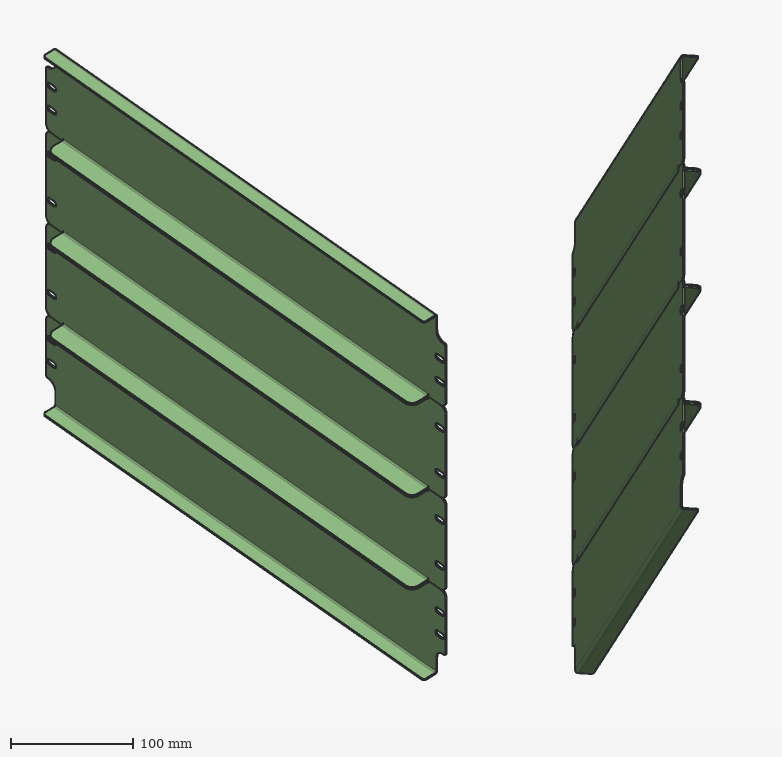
import cadquery as cq


panel_length = 476.5
sheet_thickness = 1.5
inner_bend_radius = 1.5
outer_bend_radius = inner_bend_radius + sheet_thickness

stack_height = 390.0
panel_pitch = 100.0
outer_panel_height = stack_height / 2 - panel_pitch

joint_flange_length = 435.5
joint_flange_depth = 20.0
joint_flange_corner_radius = 7.5

edge_flange_length = 454.5
edge_flange_depth = 15.2
edge_flange_corner_radius = 3.0

joint_corner_radius = 6.0
notch_height = 26.0
notch_inner_radius = 8.5
notch_outer_radius = 2.0

slot_length = 11.0
slot_width = 5.5
slot_centre_x = 231.5
joint_slot_distance = panel_pitch / 4
middle_slot_distance = panel_pitch / 2
far_slot_distance = panel_pitch - joint_slot_distance


def plate(height):
    """Flat rectangular plate standing on Z = 0."""
    return cq.Workplane("XY").box(
        panel_length, sheet_thickness, height, centered=(True, False, False)
    ).translate((0, -sheet_thickness, 0))


def round_corner(panel, x, z, radius):
    """Round the plate corner at the given place."""
    corner = cq.selectors.NearestToPointSelector((x, -sheet_thickness / 2, z))
    return panel.edges("|Y").edges(corner).fillet(radius)


def round_joint_corners(panel, joint_z):
    """Round the two plate corners that lie at a joint."""
    for side in (-1, 1):
        panel = round_corner(panel, side * panel_length / 2, joint_z, joint_corner_radius)
    return panel


def bent_flange(length, depth, corner_radius):
    """L-shaped strip: a bend and a flange whose lower face is on Z = 0."""
    strip = (
        cq.Workplane("YZ")
        .moveTo(-depth, 0)
        .lineTo(-outer_bend_radius, 0)
        .radiusArc((0, outer_bend_radius), -outer_bend_radius)
        .lineTo(-sheet_thickness, outer_bend_radius)
        .radiusArc((-outer_bend_radius, sheet_thickness), inner_bend_radius)
        .lineTo(-depth, sheet_thickness)
        .close()
        .extrude(length / 2, both=True)
    )
    return strip.edges("|Z and <Y").fillet(corner_radius)


def add_lower_flange(panel, length, depth, corner_radius):
    """Replace the lower edge of the plate by a bend with a flange."""
    bend_space = cq.Workplane("XY").box(
        length, sheet_thickness, outer_bend_radius, centered=(True, False, False)
    ).translate((0, -sheet_thickness, 0))
    return panel.cut(bend_space).union(bent_flange(length, depth, corner_radius))


def flip(panel, height):
    """Turn a panel upside down within its own height."""
    return panel.mirror("XY").translate((0, 0, height))


def cut_slots(panel, heights):
    """Cut a pair of end slots at each height."""
    centres = [(x, z) for x in (-slot_centre_x, slot_centre_x) for z in heights]
    slots = (
        cq.Workplane("XZ")
        .pushPoints(centres)
        .slot2D(slot_length, slot_width)
        .extrude(sheet_thickness)
    )
    return panel.cut(slots)


def cut_end_notches(panel, height):
    """Notch both far corners of an outer panel, with rounded notch corners."""
    notch_length = (panel_length - edge_flange_length) / 2
    notch_centre_x = (panel_length - notch_length) / 2
    shoulder_z = height - notch_height
    for side in (-1, 1):
        notch = cq.Workplane("XY").box(
            notch_length, sheet_thickness, notch_height, centered=(True, False, False)
        ).translate((side * notch_centre_x, -sheet_thickness, shoulder_z))
        panel = panel.cut(notch)
        panel = round_corner(panel, side * edge_flange_length / 2, shoulder_z, notch_inner_radius)
        panel = round_corner(panel, side * panel_length / 2, shoulder_z, notch_outer_radius)
    return panel


def add_joint_flange(panel):
    """Add the flange that meets the neighbouring panel."""
    return add_lower_flange(
        panel, joint_flange_length, joint_flange_depth, joint_flange_corner_radius
    )


def inner_panel():
    """Panel with joint flanges on both edges, standing on Z = 0."""
    panel = plate(panel_pitch)
    panel = round_joint_corners(panel, 0)
    panel = round_joint_corners(panel, panel_pitch)
    panel = cut_slots(panel, (joint_slot_distance, far_slot_distance))
    panel = add_joint_flange(panel)
    return add_joint_flange(flip(panel, panel_pitch))


def outer_panel():
    """Panel with a joint flange below and a notched edge flange above, standing on Z = 0."""
    height = outer_panel_height
    panel = plate(height)
    panel = round_joint_corners(panel, 0)
    panel = cut_end_notches(panel, height)
    panel = cut_slots(panel, (joint_slot_distance, middle_slot_distance))
    panel = add_joint_flange(panel)
    panel = add_lower_flange(
        flip(panel, height), edge_flange_length, edge_flange_depth, edge_flange_corner_radius
    )
    return flip(panel, height)


upper_panels = [inner_panel(), outer_panel().translate((0, 0, panel_pitch))]
lower_panels = [panel.mirror("XY") for panel in upper_panels]

result = cq.Compound.makeCompound([panel.val() for panel in upper_panels + lower_panels])